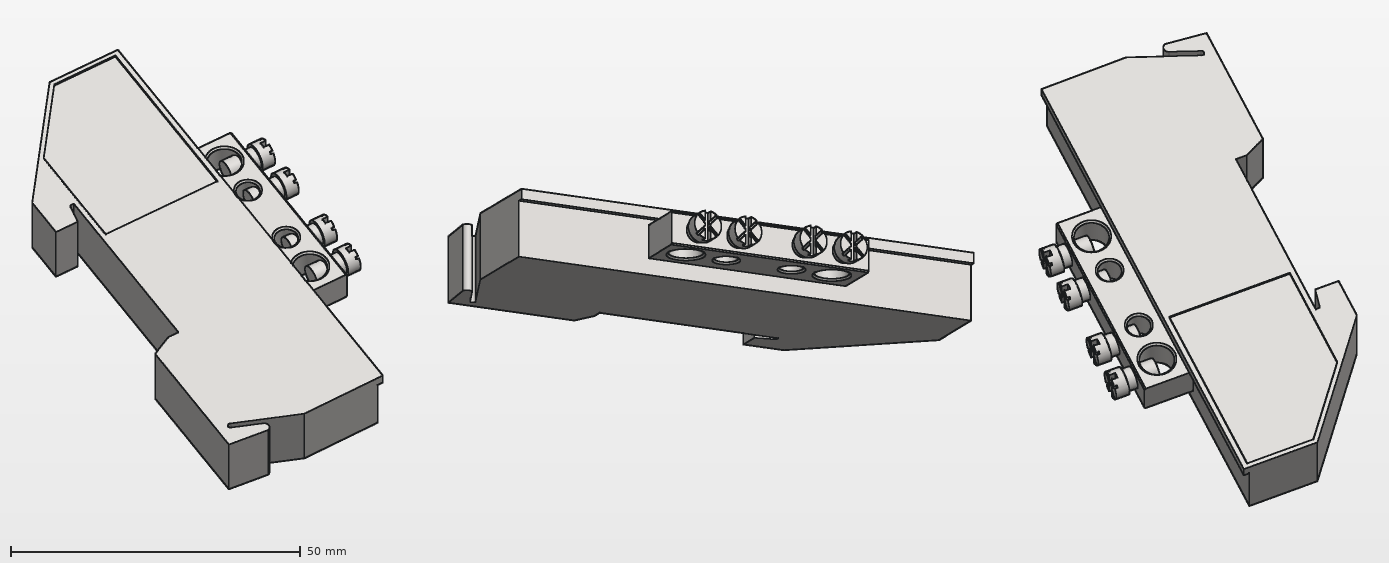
import cadquery as cq
import math

HOUSING_LENGTH = 87.0
HOUSING_DEPTH = 30.9
HOUSING_HEIGHT = 12.0
TOP_CORNER_X = 86.8
NOSE_Y = 17.0
NOSE_FOOT_X = 21.6

HOOK_X = 29.4
HOOK_TIP_Y = 4.4
UNDERCUT_X = 25.6
UNDERCUT_Y = 5.2
UNDERCUT_RADIUS = 0.35
CHANNEL_Y = 6.0
CHANNEL_END_X = 59.85
CHANNEL_BEVEL_Y = 3.9
CHANNEL_FOOT_X = 61.9

FINGER_FOOT_X = 86.0
FINGER_SIDE = (86.8, 7.5)
FINGER_TIP = (85.95, 8.2)
FINGER_INNER = (85.1, 7.6)
FINGER_SLOT_RIGHT = (83.0, 2.4)
FINGER_SLOT_END = (82.4, 2.1)
FINGER_SLOT_LEFT = (82.1, 2.8)
SHOULDER_Y = 14.8

LIP_OVERHANG = 1.05
LIP_THICKNESS = 1.9

LABEL_MARGIN = 0.9
LABEL_END_X = 34.4
LABEL_BOTTOM_Y = 7.05
LABEL_DEPTH = 0.35

BAR_START_X = 24.1
BAR_LENGTH = 37.85
BAR_HEIGHT = 6.0
BAR_TOP_Y = 39.1
BAR_CHAMFER = 0.3
WIRE_HOLE_Y = 34.5
WIRE_HOLE_CHAMFER = 0.35
LARGE_HOLE_DIAMETER = 6.1
SMALL_HOLE_DIAMETER = 4.2
LARGE_HOLE_OFFSET = 14.0
SMALL_HOLE_OFFSET = 6.3

SCREW_TOP_Y = 43.3
HEAD_HEIGHT = 2.5
HEAD_DIAMETER = 5.1
SHANK_DIAMETER = 4.1
SHANK_END_Y = 34.8
DRIVE_SLOT_WIDTH = 1.05
DRIVE_SLOT_DEPTH = 1.1
CROSS_GROOVE_WIDTH = 0.4
CROSS_GROOVE_DEPTH = 0.5
CROSS_GROOVE_ANGLES = (45, 135)

BACK_FACE_Y = HOUSING_DEPTH - LIP_OVERHANG
MID_Z = HOUSING_HEIGHT / 2
BAR_BOTTOM_Z = MID_Z - BAR_HEIGHT / 2
BAR_TOP_Z = MID_Z + BAR_HEIGHT / 2
BAR_MID_X = BAR_START_X + BAR_LENGTH / 2
WIRE_HOLES = [
    (BAR_MID_X - LARGE_HOLE_OFFSET, LARGE_HOLE_DIAMETER),
    (BAR_MID_X - SMALL_HOLE_OFFSET, SMALL_HOLE_DIAMETER),
    (BAR_MID_X + SMALL_HOLE_OFFSET, SMALL_HOLE_DIAMETER),
    (BAR_MID_X + LARGE_HOLE_OFFSET, LARGE_HOLE_DIAMETER),
]


def box(x, y, z, length, depth, height):
    """Box with its lowest corner at (x, y, z)."""
    return cq.Workplane("XY").box(length, depth, height, centered=False).translate((x, y, z))


def rod(x, y_low, y_high, diameter):
    """Cylinder along Y at mid height."""
    profile = cq.Workplane("XZ", origin=(x, y_high, MID_Z)).circle(diameter / 2)
    return profile.extrude(y_high - y_low)


def make_housing_plate():
    plate = (
        cq.Workplane("XY")
        .moveTo(0, HOUSING_DEPTH)
        .lineTo(0, NOSE_Y)
        .lineTo(NOSE_FOOT_X, 0)
        .lineTo(HOOK_X, 0)
        .lineTo(HOOK_X, HOOK_TIP_Y)
        .lineTo(UNDERCUT_X, UNDERCUT_Y)
        .lineTo(UNDERCUT_X, CHANNEL_Y)
        .lineTo(CHANNEL_END_X, CHANNEL_Y)
        .lineTo(CHANNEL_END_X, CHANNEL_BEVEL_Y)
        .lineTo(CHANNEL_FOOT_X, 0)
        .lineTo(FINGER_FOOT_X, 0)
        .lineTo(*FINGER_SIDE)
        .threePointArc(FINGER_TIP, FINGER_INNER)
        .lineTo(*FINGER_SLOT_RIGHT)
        .threePointArc(FINGER_SLOT_END, FINGER_SLOT_LEFT)
        .lineTo(HOUSING_LENGTH, SHOULDER_Y)
        .lineTo(TOP_CORNER_X, HOUSING_DEPTH)
        .close()
        .extrude(HOUSING_HEIGHT)
    )
    undercut_corner = cq.selectors.NearestToPointSelector((UNDERCUT_X, UNDERCUT_Y, MID_Z))
    return plate.edges("|Z").edges(undercut_corner).fillet(UNDERCUT_RADIUS)


def make_lip_relief():
    """Material removed below the lip, along the whole +Y side."""
    height_below_lip = HOUSING_HEIGHT - LIP_THICKNESS
    return box(0, BACK_FACE_Y, 0, HOUSING_LENGTH, LIP_OVERHANG, height_below_lip)


def make_label_recess():
    """Recess whose slanted side runs parallel to the nose at the label margin."""
    nose_slope = NOSE_Y / NOSE_FOOT_X
    slant_rise = LABEL_MARGIN * math.hypot(1, nose_slope)

    def slant_y(x):
        return NOSE_Y - nose_slope * x + slant_rise

    slant_end_x = (NOSE_Y + slant_rise - LABEL_BOTTOM_Y) / nose_slope
    outline = [
        (LABEL_MARGIN, BACK_FACE_Y),
        (LABEL_MARGIN, slant_y(LABEL_MARGIN)),
        (slant_end_x, LABEL_BOTTOM_Y),
        (LABEL_END_X, LABEL_BOTTOM_Y),
        (LABEL_END_X, BACK_FACE_Y),
    ]
    floor = cq.Workplane("XY", origin=(0, 0, HOUSING_HEIGHT - LABEL_DEPTH))
    return floor.polyline(outline).close().extrude(LABEL_DEPTH)


def make_housing():
    return make_housing_plate().cut(make_lip_relief()).cut(make_label_recess())


def make_wire_hole(x, diameter):
    """Through hole along Z, chamfered at both mouths."""
    radius = diameter / 2
    mouth_radius = radius + WIRE_HOLE_CHAMFER
    half_profile = [
        (0, BAR_BOTTOM_Z),
        (mouth_radius, BAR_BOTTOM_Z),
        (radius, BAR_BOTTOM_Z + WIRE_HOLE_CHAMFER),
        (radius, BAR_TOP_Z - WIRE_HOLE_CHAMFER),
        (mouth_radius, BAR_TOP_Z),
        (0, BAR_TOP_Z),
    ]
    hole = cq.Workplane("XZ").polyline(half_profile).close().revolve(360, (0, 0), (0, 1))
    return hole.translate((x, WIRE_HOLE_Y, 0))


def make_terminal_bar():
    bar_depth = BAR_TOP_Y - BACK_FACE_Y
    bar = box(BAR_START_X, BACK_FACE_Y, BAR_BOTTOM_Z, BAR_LENGTH, bar_depth, BAR_HEIGHT)
    bar = bar.faces(">Y").edges("|X").chamfer(BAR_CHAMFER)
    for x, diameter in WIRE_HOLES:
        bar = bar.cut(make_wire_hole(x, diameter))
        bar = bar.cut(rod(x, SHANK_END_Y, BAR_TOP_Y, SHANK_DIAMETER))
    return bar


def make_head_groove(x, width, depth, angle):
    """Groove across the top of a screw head, turned from Z by an angle about the screw axis."""
    groove = box(
        x - width / 2,
        SCREW_TOP_Y - depth,
        MID_Z - HEAD_DIAMETER / 2,
        width,
        depth,
        HEAD_DIAMETER,
    )
    return groove.rotate((x, 0, MID_Z), (x, 1, MID_Z), angle)


def make_screw(x):
    """Cheese-head screw with a drive slot along Z and two shallow diagonal grooves."""
    head_bottom_y = SCREW_TOP_Y - HEAD_HEIGHT
    head = rod(x, head_bottom_y, SCREW_TOP_Y, HEAD_DIAMETER)
    head = head.cut(make_head_groove(x, DRIVE_SLOT_WIDTH, DRIVE_SLOT_DEPTH, 0))
    for angle in CROSS_GROOVE_ANGLES:
        head = head.cut(make_head_groove(x, CROSS_GROOVE_WIDTH, CROSS_GROOVE_DEPTH, angle))
    return head.union(rod(x, SHANK_END_Y, head_bottom_y, SHANK_DIAMETER))


housing = make_housing()
terminal_bar = make_terminal_bar()
screws = [make_screw(x) for x, _ in WIRE_HOLES]

result = cq.Compound.makeCompound(
    [housing.val(), terminal_bar.val(), *[screw.val() for screw in screws]]
)